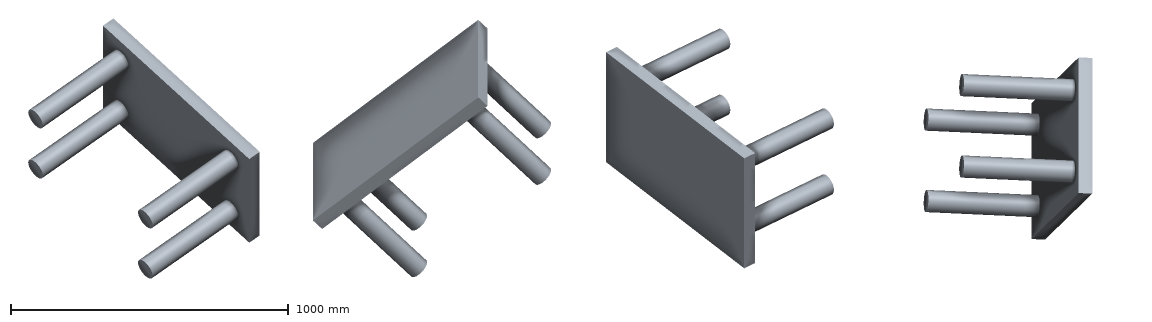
import cadquery as cq

plate_length = 800.0
plate_height = 500.0
plate_thickness = plate_height / 10

overall_depth = 460.0
leg_diameter = 80.0
leg_inset = 100.0
leg_length = overall_depth - plate_thickness
leg_spacing_x = plate_length - 2 * leg_inset
leg_spacing_z = plate_height - 2 * leg_inset

plate = cq.Workplane("XZ").rect(plate_length, plate_height).extrude(-plate_thickness)

legs = (
    cq.Workplane("XZ")
    .rect(leg_spacing_x, leg_spacing_z, forConstruction=True)
    .vertices()
    .circle(leg_diameter / 2)
    .extrude(leg_length)
)

result = plate.union(legs)